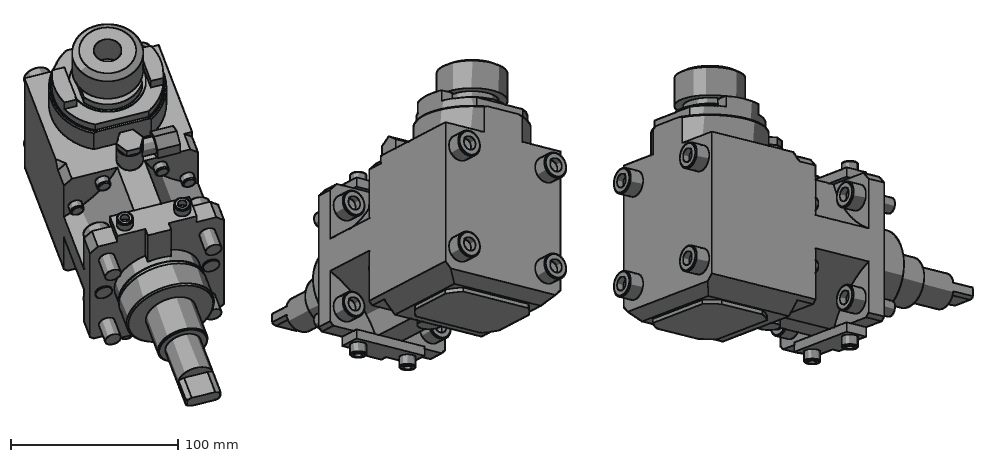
import cadquery as cq
import math


WIDTH = 84.0
HALF_WIDTH = WIDTH / 2
BLOCK_LEFT = -32.5
BLOCK_RIGHT = 47.4
HOUSING_TOP = 46.6
BLOCK_BOTTOM = -53.0
NECK_BOTTOM = -45.0
STEP_X = 35.3
BOTTOM_CHAMFER = 10.5
LEFT_CHAMFER_LENGTH = 5.7
LEFT_CHAMFER_HEIGHT = 6.6
TOP_CHAMFER = 5.0

RIDGE_HALF = 8.5
WEB_HALF = 10.5
NECK_ARC_RADIUS = 66.3
FLANGE_LEFT = 88.0
FLANGE_RIGHT = 100.2

PILOT_RADIUS = 27.5
PILOT_END = 127.9
PILOT_CHAMFER = 1.0
PILOT_REAR_RADIUS = 26.8
GROOVE_RADIUS = 26.3
GROOVE_START = 108.7
GROOVE_END = 111.5
STUB_RADIUS = 15.6
STUB_END = 152.7
STUB_CHAMFER = 0.7
SHAFT_RADIUS = 11.1
SHAFT_END = 194.2
TANG_START = 178.5
TANG_HALF_THICKNESS = 4.0
TANG_EDGE_HALF_THICKNESS = 2.5
TANG_FLAT_HALF_WIDTH = 7.3
TANG_END_CHAMFER = 1.0

NOSE_RADIUS = 35.3
NOSE_TOP = 63.7
NOSE_RIGHT_FLAT = 30.3
NOSE_CHAMFER = 1.0
PLATE_RADIUS = 33.5
PLATE_TOP = 69.5
PLATE_FLAT = 29.0
LUG_TOP = 76.0
LUG_HALF_WIDTH = 12.5
LUG_INNER = 23.2
RECESS_RADIUS = 23.0
RECESS_DEPTH = 0.5
RING_RADIUS = 21.3
RING_TOP = 74.4
RING_FLAT = 18.2
SPINDLE_RADIUS = 15.0
SPINDLE_SHOULDER = 76.5
COLLAR_RADIUS = 16.0
NUT_BOTTOM = 80.0
NUT_TOP = 100.0
NUT_RADIUS = 21.3
NUT_CHAMFER_WIDTH = 4.3
NUT_CHAMFER_HEIGHT = 2.4
NUT_BORE_RADIUS = 8.3

COVER_RADIUS = 34.3
COVER_BOTTOM = -55.6
COVER_HALF_LENGTH = 24.9
COVER_HALF_WIDTH = 30.5

BOLT_Y = 31.5
BOLT_Z = 32.5
HEAD_RADIUS = 8.0
HEAD_LENGTH = 10.2
HEAD_CHAMFER = 0.7
SOCKET_RADIUS = 4.3
SOCKET_DEPTH = 4.7
SOCKET_TIP_ANGLE = 118.0
SHANK_RADIUS = 5.0
SHANK_END = 113.0
COVER_SCREW_RADIUS = 4.3
COVER_SCREW_LENGTH = 5.0
COVER_SCREW_CHAMFER = 0.7
COVER_SCREW_OUTER = (35.0, 19.7)
COVER_SCREW_UPPER = (18.2, 37.5)
PLUG_RADIUS = 5.2
PLUG_Y = 33.6
PLUG_HEIGHT = 1.0

CLAMP_LEFT = 85.0
CLAMP_HALF_WIDTH = 24.9
CLAMP_HEIGHT = 6.0
TONGUE_RIGHT = 105.1
TONGUE_HALF_WIDTH = 7.3
CLAMP_SCREW_X = 93.0
CLAMP_SCREW_Y = 18.0
CLAMP_SCREW_RADIUS = 5.0
CLAMP_SCREW_TOP_LENGTH = 6.2
CLAMP_SCREW_BOTTOM_LENGTH = 6.6
CLAMP_SOCKET_RADIUS = 2.5

FITTING_X = 45.0
HEX_FLATS = 14.5
FITTING_RADIUS = 8.0
FITTING_BASE_RADIUS = 7.0
FITTING_CYLINDER_BOTTOM = 48.3
FITTING_CYLINDER_TOP = 62.5
FITTING_TOP = 67.5
ELBOW_Z = 56.8
ELBOW_RADIUS = 5.2
ELBOW_HEX_START = 15.2
ELBOW_HEX_END = 29.4
DRAIN_HEIGHT = 4.5

OVERLAP = 1.2


def box(x0, x1, y0, y1, z0, z1):
    """Axis-aligned box between two corners."""
    return cq.Workplane("XY").box(x1 - x0, y1 - y0, z1 - z0, centered=False).translate((x0, y0, z0))


def rod_x(x0, x1, radius, y=0, z=0):
    """Cylinder along X from x0 to x1."""
    return cq.Workplane("YZ", origin=(x0, y, z)).circle(radius).extrude(x1 - x0)


def rod_z(z0, z1, radius, x=0, y=0):
    """Cylinder along Z from z0 to z1."""
    return cq.Workplane("XY", origin=(x, y, z0)).circle(radius).extrude(z1 - z0)


def socket(top_center, direction, radius):
    """Cutter for a drilled socket: straight hole with a conical bottom."""
    tip_length = radius / math.tan(math.radians(SOCKET_TIP_ANGLE / 2))
    top = cq.Vector(*top_center)
    axis = cq.Vector(*direction)
    hole = cq.Solid.makeCylinder(radius, SOCKET_DEPTH, top, axis)
    tip = cq.Solid.makeCone(radius, 0, tip_length, top + axis * SOCKET_DEPTH, axis)
    return cq.Workplane(hole.fuse(tip))


def housing_profile():
    """Cross-section of the housing: rectangle with both bottom corners chamfered."""
    chamfer_top = BLOCK_BOTTOM + BOTTOM_CHAMFER
    bottom_half = HALF_WIDTH - BOTTOM_CHAMFER
    return cq.Workplane("YZ").polyline([
        (-HALF_WIDTH, HOUSING_TOP),
        (HALF_WIDTH, HOUSING_TOP),
        (HALF_WIDTH, chamfer_top),
        (bottom_half, BLOCK_BOTTOM),
        (-bottom_half, BLOCK_BOTTOM),
        (-HALF_WIDTH, chamfer_top),
    ]).close()


def corner_wedge(side, start_x, run_out):
    """Cutter for a long top chamfer; with run_out its left end leaves at 45 degrees."""
    edge = (
        cq.Workplane("YZ", origin=(start_x, 0, 0))
        .polyline([
            (side * HALF_WIDTH, HOUSING_TOP),
            (side * (HALF_WIDTH - TOP_CHAMFER), HOUSING_TOP),
            (side * HALF_WIDTH, HOUSING_TOP - TOP_CHAMFER),
        ])
        .close()
        .extrude(FLANGE_RIGHT - start_x)
    )
    if not run_out:
        return edge
    corner = cq.Vector(start_x, side * HALF_WIDTH, HOUSING_TOP)
    tip = corner - cq.Vector(TOP_CHAMFER, 0, 0)
    across = corner - cq.Vector(0, side * TOP_CHAMFER, 0)
    down = corner - cq.Vector(0, 0, TOP_CHAMFER)
    triangles = [(corner, across, down), (corner, across, tip), (corner, down, tip), (across, down, tip)]
    faces = [cq.Face.makeFromWires(cq.Wire.makePolygon(list(t), close=True)) for t in triangles]
    return edge.union(cq.Workplane(cq.Solid.makeSolid(cq.Shell.makeShell(faces))))


def neck():
    """Cross-shaped neck: side webs and top and bottom ridges joined by hollow arcs."""
    return (
        cq.Workplane("YZ", origin=(BLOCK_RIGHT - OVERLAP, 0, 0))
        .moveTo(-RIDGE_HALF, HOUSING_TOP)
        .lineTo(RIDGE_HALF, HOUSING_TOP)
        .radiusArc((HALF_WIDTH, WEB_HALF), -NECK_ARC_RADIUS)
        .lineTo(HALF_WIDTH, -WEB_HALF)
        .radiusArc((RIDGE_HALF, NECK_BOTTOM), -NECK_ARC_RADIUS)
        .lineTo(-RIDGE_HALF, NECK_BOTTOM)
        .radiusArc((-HALF_WIDTH, -WEB_HALF), -NECK_ARC_RADIUS)
        .lineTo(-HALF_WIDTH, WEB_HALF)
        .radiusArc((-RIDGE_HALF, HOUSING_TOP), -NECK_ARC_RADIUS)
        .close()
        .extrude(FLANGE_LEFT - BLOCK_RIGHT + 2 * OVERLAP)
    )


def housing():
    """Gear block, neck and rear flange with their chamfers."""
    body = housing_profile().extrude(FLANGE_RIGHT - BLOCK_LEFT).translate((BLOCK_LEFT, 0, 0))
    body = body.cut(box(STEP_X, FLANGE_RIGHT, -HALF_WIDTH, HALF_WIDTH, BLOCK_BOTTOM, NECK_BOTTOM))
    left_chamfer = (
        cq.Workplane("XZ")
        .polyline([
            (BLOCK_LEFT, BLOCK_BOTTOM),
            (BLOCK_LEFT + LEFT_CHAMFER_LENGTH, BLOCK_BOTTOM),
            (BLOCK_LEFT, BLOCK_BOTTOM + LEFT_CHAMFER_HEIGHT),
        ])
        .close()
        .extrude(HALF_WIDTH, both=True)
    )
    body = body.cut(left_chamfer)
    body = body.cut(corner_wedge(-1, STEP_X, True)).cut(corner_wedge(1, STEP_X, False))
    window = box(BLOCK_RIGHT, FLANGE_LEFT, -HALF_WIDTH, HALF_WIDTH, BLOCK_BOTTOM, HOUSING_TOP)
    return body.cut(window).union(neck())


def drive_shaft():
    """Pilot, stub and shaft turned about X, ending in a flat tang."""
    turned = (
        cq.Workplane("XZ")
        .moveTo(FLANGE_RIGHT - OVERLAP, 0)
        .lineTo(FLANGE_RIGHT - OVERLAP, PILOT_REAR_RADIUS)
        .lineTo(GROOVE_START, PILOT_REAR_RADIUS)
        .lineTo(GROOVE_START, GROOVE_RADIUS)
        .lineTo(GROOVE_END, GROOVE_RADIUS)
        .lineTo(GROOVE_END, PILOT_RADIUS)
        .lineTo(PILOT_END - PILOT_CHAMFER, PILOT_RADIUS)
        .lineTo(PILOT_END, PILOT_RADIUS - PILOT_CHAMFER)
        .lineTo(PILOT_END, STUB_RADIUS)
        .lineTo(STUB_END - STUB_CHAMFER, STUB_RADIUS)
        .lineTo(STUB_END, STUB_RADIUS - STUB_CHAMFER)
        .lineTo(STUB_END, SHAFT_RADIUS)
        .lineTo(SHAFT_END - TANG_END_CHAMFER, SHAFT_RADIUS)
        .lineTo(SHAFT_END, SHAFT_RADIUS - TANG_END_CHAMFER)
        .lineTo(SHAFT_END, 0)
        .close()
        .revolve(360, (0, 0, 0), (1, 0, 0))
    )
    tang = (
        cq.Workplane("YZ", origin=(TANG_START, 0, 0))
        .polyline([
            (-TANG_FLAT_HALF_WIDTH, TANG_HALF_THICKNESS),
            (TANG_FLAT_HALF_WIDTH, TANG_HALF_THICKNESS),
            (SHAFT_RADIUS, TANG_EDGE_HALF_THICKNESS),
            (SHAFT_RADIUS, -TANG_EDGE_HALF_THICKNESS),
            (TANG_FLAT_HALF_WIDTH, -TANG_HALF_THICKNESS),
            (-TANG_FLAT_HALF_WIDTH, -TANG_HALF_THICKNESS),
            (-SHAFT_RADIUS, -TANG_EDGE_HALF_THICKNESS),
            (-SHAFT_RADIUS, TANG_EDGE_HALF_THICKNESS),
        ])
        .close()
        .extrude(SHAFT_END - TANG_START)
    )
    shaft_end = rod_x(TANG_START, SHAFT_END, SHAFT_RADIUS)
    return turned.cut(shaft_end.cut(tang))


def spindle():
    """Nose, keyed face plate, flatted ring, spindle and bored clamping nut."""
    nose = rod_z(HOUSING_TOP - OVERLAP, NOSE_TOP, NOSE_RADIUS).faces(">Z").chamfer(NOSE_CHAMFER)
    nose = nose.intersect(
        box(BLOCK_LEFT, NOSE_RIGHT_FLAT, -NOSE_RADIUS, NOSE_RADIUS, HOUSING_TOP - OVERLAP, NOSE_TOP)
    )

    plate = rod_z(NOSE_TOP - OVERLAP, LUG_TOP, PLATE_RADIUS)
    plate_bounds = box(-PLATE_FLAT, PLATE_FLAT, -PLATE_RADIUS, PLATE_RADIUS, NOSE_TOP - OVERLAP, PLATE_TOP)
    for side in (-1, 1):
        y_inner, y_outer = sorted((side * LUG_INNER, side * PLATE_RADIUS))
        lug = box(-LUG_HALF_WIDTH, LUG_HALF_WIDTH, y_inner, y_outer, NOSE_TOP, LUG_TOP)
        plate_bounds = plate_bounds.union(lug)
    plate = plate.intersect(plate_bounds)
    plate = plate.cut(rod_z(PLATE_TOP - RECESS_DEPTH, PLATE_TOP, RECESS_RADIUS))

    ring = rod_z(PLATE_TOP - OVERLAP, RING_TOP, RING_RADIUS)
    ring = ring.intersect(
        box(-RING_RADIUS, RING_RADIUS, -RING_FLAT, RING_FLAT, PLATE_TOP - OVERLAP, RING_TOP)
    )

    nut = (
        cq.Workplane("XZ")
        .moveTo(0, RING_TOP - OVERLAP)
        .lineTo(SPINDLE_RADIUS, RING_TOP - OVERLAP)
        .lineTo(SPINDLE_RADIUS, RING_TOP)
        .lineTo(COLLAR_RADIUS, SPINDLE_SHOULDER)
        .lineTo(COLLAR_RADIUS, NUT_BOTTOM)
        .lineTo(NUT_RADIUS, NUT_BOTTOM)
        .lineTo(NUT_RADIUS, NUT_TOP - NUT_CHAMFER_HEIGHT)
        .lineTo(NUT_RADIUS - NUT_CHAMFER_WIDTH, NUT_TOP)
        .lineTo(0, NUT_TOP)
        .close()
        .revolve(360, (0, 0, 0), (0, 1, 0))
    )
    nut = nut.cut(rod_z(NUT_BOTTOM, NUT_TOP, NUT_BORE_RADIUS))
    return nose.union(plate).union(ring).union(nut)


def bottom_cover():
    """Round cover under the block, trimmed by four flats."""
    disc = rod_z(COVER_BOTTOM, BLOCK_BOTTOM + OVERLAP, COVER_RADIUS)
    return disc.intersect(
        box(-COVER_HALF_LENGTH, COVER_HALF_LENGTH, -COVER_HALF_WIDTH, COVER_HALF_WIDTH,
            COVER_BOTTOM, BLOCK_BOTTOM + OVERLAP)
    )


def bolt_head(seat_x, y, z):
    """Socket head standing on a face at seat_x and pointing toward -X."""
    top_x = seat_x - HEAD_LENGTH
    head = rod_x(top_x, seat_x + OVERLAP, HEAD_RADIUS, y, z).faces("<X").chamfer(HEAD_CHAMFER)
    return head.cut(socket((top_x, y, z), (1, 0, 0), SOCKET_RADIUS))


def mounting_bolts():
    """Four bolts on the block's left face and four through the rear flange."""
    bolts = cq.Workplane("XY")
    for y in (-BOLT_Y, BOLT_Y):
        for z in (-BOLT_Z, BOLT_Z):
            bolts = bolts.union(bolt_head(BLOCK_LEFT, y, z))
            bolts = bolts.union(bolt_head(FLANGE_LEFT, y, z))
            bolts = bolts.union(rod_x(FLANGE_RIGHT - OVERLAP, SHANK_END, SHANK_RADIUS, y, z))
    return bolts


def cover_screws():
    """Small screw heads on the block's right face, around the neck."""
    outer_y, outer_z = COVER_SCREW_OUTER
    upper_y, upper_z = COVER_SCREW_UPPER
    head_end = BLOCK_RIGHT + COVER_SCREW_LENGTH
    screws = cq.Workplane("XY")
    for side in (-1, 1):
        for y, z in ((outer_y, outer_z), (outer_y, -outer_z), (upper_y, upper_z)):
            head = rod_x(BLOCK_RIGHT - OVERLAP, head_end, COVER_SCREW_RADIUS, side * y, z)
            screws = screws.union(head.faces(">X").chamfer(COVER_SCREW_CHAMFER))
    return screws


def flange_plugs():
    """Low round plugs on the flange's right face, level with the shaft."""
    plugs = cq.Workplane("XY")
    for y in (-PLUG_Y, PLUG_Y):
        plugs = plugs.union(rod_x(FLANGE_RIGHT - OVERLAP, FLANGE_RIGHT + PLUG_HEIGHT, PLUG_RADIUS, y))
    return plugs


def clamp(seat_height, screw_length):
    """Clamp bar on a seat at seat_height above the shaft, with tongue and two screws."""
    bar_top = seat_height + CLAMP_HEIGHT
    bar = box(CLAMP_LEFT, FLANGE_RIGHT, -CLAMP_HALF_WIDTH, CLAMP_HALF_WIDTH, seat_height, bar_top)
    tongue = box(FLANGE_RIGHT - OVERLAP, TONGUE_RIGHT, -TONGUE_HALF_WIDTH, TONGUE_HALF_WIDTH,
                 PILOT_REAR_RADIUS - OVERLAP, bar_top)
    bar = bar.union(tongue)
    screw_top = bar_top + screw_length
    for y in (-CLAMP_SCREW_Y, CLAMP_SCREW_Y):
        screw = rod_z(bar_top - OVERLAP, screw_top, CLAMP_SCREW_RADIUS, CLAMP_SCREW_X, y)
        screw = screw.faces(">Z").chamfer(HEAD_CHAMFER)
        screw = screw.cut(socket((CLAMP_SCREW_X, y, screw_top), (0, 0, -1), CLAMP_SOCKET_RADIUS))
        bar = bar.union(screw)
    return bar


def hex_prism(length):
    """Hexagonal prism standing on the origin, with flats facing -X and +X."""
    across_corners = HEX_FLATS / math.cos(math.pi / 6)
    hexagon = cq.Workplane("XY").polygon(6, across_corners).extrude(length)
    return hexagon.rotate((0, 0, 0), (0, 0, 1), 90)


def coolant_fittings():
    """Upright fitting with a side branch on top, and a round plug underneath."""
    base = rod_z(HOUSING_TOP - OVERLAP, FITTING_CYLINDER_BOTTOM, FITTING_BASE_RADIUS, FITTING_X)
    post = rod_z(FITTING_CYLINDER_BOTTOM, FITTING_CYLINDER_TOP, FITTING_RADIUS, FITTING_X)
    cap = hex_prism(FITTING_TOP - FITTING_CYLINDER_TOP).translate((FITTING_X, 0, FITTING_CYLINDER_TOP))
    branch = (
        cq.Workplane("XZ", origin=(FITTING_X, 0, ELBOW_Z))
        .circle(ELBOW_RADIUS)
        .extrude(-ELBOW_HEX_END)
    )
    branch_hex = hex_prism(ELBOW_HEX_END - ELBOW_HEX_START).rotate((0, 0, 0), (1, 0, 0), -90)
    branch_hex = branch_hex.translate((FITTING_X, ELBOW_HEX_START, ELBOW_Z))
    drain = rod_z(NECK_BOTTOM - DRAIN_HEIGHT, NECK_BOTTOM + OVERLAP, FITTING_BASE_RADIUS, FITTING_X)
    return base.union(post).union(cap).union(branch).union(branch_hex).union(drain)


top_clamp = clamp(HOUSING_TOP, CLAMP_SCREW_TOP_LENGTH)
bottom_clamp = clamp(-NECK_BOTTOM, CLAMP_SCREW_BOTTOM_LENGTH).mirror("XY")

result = housing()
for piece in (drive_shaft(), spindle(), bottom_cover(), mounting_bolts(), cover_screws(),
              flange_plugs(), top_clamp, bottom_clamp, coolant_fittings()):
    result = result.union(piece)